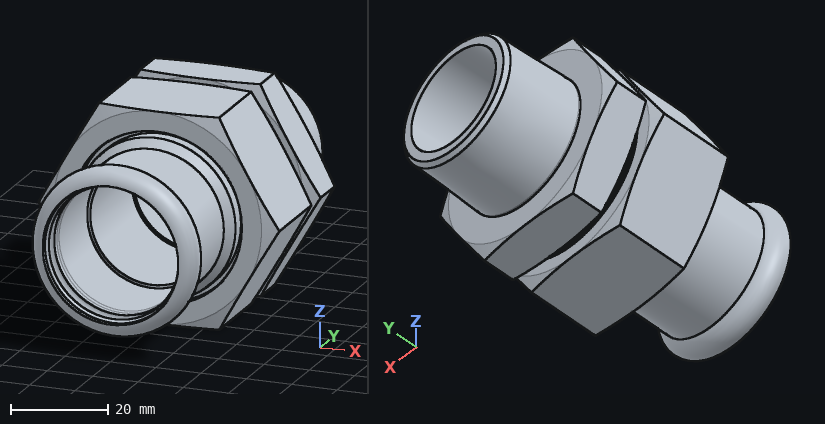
import cadquery as cq
import math

TOTAL_LENGTH = 80.0
ACROSS_FLATS = 46.0
ACROSS_CORNERS = ACROSS_FLATS / math.cos(math.pi / 6)

BEAD_LENGTH = 7.2
BEAD_RADIUS = BEAD_LENGTH / 2
BEAD_DIAMETER = 36.7
BEAD_CENTRE_RADIUS = BEAD_DIAMETER / 2 - BEAD_RADIUS
TUBE_DIAMETER = 31.4
MOUTH_DIAMETER = 29.9
MOUTH_LIP_LENGTH = 1.3
SEAL_GROOVE_DIAMETER = 32.3
SEAL_GROOVE_START = 2.1
SEAL_GROOVE_END = 5.1
GUIDE_DIAMETER = 28.8
GUIDE_END = 6.6
SOCKET_DIAMETER = 28.4
SOCKET_START = 7.4
SOCKET_DEPTH = 23.2

CONE_START = 23.9
COLLAR_START = 25.8
COLLAR_DIAMETER = 35.0

NUT_START = 26.5
NUT_LENGTH = 20.0
NUT_END = NUT_START + NUT_LENGTH
NUT_HOLE_DIAMETER = 37.4
NUT_HOLE_DEPTH = 2.4
RIM_LENGTH = 0.5
RIM_DIAMETER = 39.0
NECK_DIAMETER = 38.0
HEX_START = 49.8
HEX_LENGTH = 10.0
HEX_END = HEX_START + HEX_LENGTH
HEX_CHAMFER_ANGLE = 15.0

SHOULDER_LENGTH = 0.5
THREAD_START = HEX_END + SHOULDER_LENGTH
THREAD_BASE_DIAMETER = 33.1
THREAD_TAPER = 1 / 16
TIP_CHAMFER = 1.0
TIP_START = TOTAL_LENGTH - TIP_CHAMFER
TIP_BASE_DIAMETER = THREAD_BASE_DIAMETER - THREAD_TAPER * (TIP_START - THREAD_START)
TIP_DIAMETER = TIP_BASE_DIAMETER - 2 * TIP_CHAMFER

BORE_STEPS = [(NUT_END, 27.0), (HEX_END, 26.0), (TOTAL_LENGTH, 25.4)]


def revolve(profile):
    """Turn a closed (radius, Y) profile around the Y axis."""
    return profile.close().revolve(360, (0, 0, 0), (0, 1, 0))


def cylinder(diameter, start, end):
    return revolve(cq.Workplane("XY").moveTo(0, start).lineTo(diameter / 2, start)
                   .lineTo(diameter / 2, end).lineTo(0, end))


def hexagon(start, length):
    """Hexagon with corners on X, both ends turned down to the across-flats circle."""
    prism = (cq.Workplane("XZ", origin=(0, start, 0))
             .polygon(6, ACROSS_CORNERS).extrude(-length))
    flat_radius = ACROSS_FLATS / 2
    corner_radius = ACROSS_CORNERS / 2
    drop = (corner_radius - flat_radius) * math.tan(math.radians(HEX_CHAMFER_ANGLE))
    end = start + length
    envelope = revolve(cq.Workplane("XY").moveTo(0, start).lineTo(flat_radius, start)
                       .lineTo(corner_radius, start + drop).lineTo(corner_radius, end - drop)
                       .lineTo(flat_radius, end).lineTo(0, end))
    return prism.intersect(envelope)


def press_socket():
    """Rounded bead, straight tube and the conical rise to the collar."""
    collar_end = NUT_START + NUT_HOLE_DEPTH
    bead = (cq.Workplane("XY").moveTo(0, 0).lineTo(BEAD_CENTRE_RADIUS, 0)
            .threePointArc((BEAD_DIAMETER / 2, BEAD_RADIUS), (BEAD_CENTRE_RADIUS, BEAD_LENGTH))
            .lineTo(0, BEAD_LENGTH))
    collar = (cq.Workplane("XY").moveTo(0, CONE_START).lineTo(TUBE_DIAMETER / 2, CONE_START)
              .lineTo(COLLAR_DIAMETER / 2, COLLAR_START)
              .lineTo(COLLAR_DIAMETER / 2, collar_end).lineTo(0, collar_end))
    tube = cylinder(TUBE_DIAMETER, BEAD_RADIUS, collar_end)
    return revolve(bead).union(tube).union(revolve(collar))


def union_nut():
    """Hexagon nut with a clearance recess around the collar."""
    recess = cylinder(NUT_HOLE_DIAMETER, NUT_START, NUT_START + NUT_HOLE_DEPTH)
    return hexagon(NUT_START, NUT_LENGTH).cut(recess)


def male_end():
    """Shoulder and tapered spigot with a chamfered tip."""
    return revolve(cq.Workplane("XY").moveTo(0, HEX_END)
                   .lineTo(THREAD_BASE_DIAMETER / 2, HEX_END)
                   .lineTo(THREAD_BASE_DIAMETER / 2, THREAD_START)
                   .lineTo(TIP_BASE_DIAMETER / 2, TIP_START)
                   .lineTo(TIP_DIAMETER / 2, TOTAL_LENGTH).lineTo(0, TOTAL_LENGTH))


def socket_bore():
    """Mouth with a short lead-in, round seal groove in the bead, guide bore and the tube seat."""
    mouth_radius = MOUTH_DIAMETER / 2
    groove_radius = SEAL_GROOVE_DIAMETER / 2
    groove_centre = (SEAL_GROOVE_START + SEAL_GROOVE_END) / 2
    guide_radius = GUIDE_DIAMETER / 2
    socket_radius = SOCKET_DIAMETER / 2
    return revolve(cq.Workplane("XY").moveTo(0, 0).lineTo(mouth_radius, 0)
                   .lineTo(mouth_radius, MOUTH_LIP_LENGTH)
                   .lineTo(guide_radius, SEAL_GROOVE_START)
                   .threePointArc((groove_radius, groove_centre), (guide_radius, SEAL_GROOVE_END))
                   .lineTo(guide_radius, GUIDE_END)
                   .lineTo(socket_radius, SOCKET_START)
                   .lineTo(socket_radius, SOCKET_DEPTH).lineTo(0, SOCKET_DEPTH))


body = press_socket().union(union_nut())
body = body.union(cylinder(RIM_DIAMETER, NUT_END, NUT_END + RIM_LENGTH))
body = body.union(cylinder(NECK_DIAMETER, NUT_END, HEX_START))
body = body.union(hexagon(HEX_START, HEX_LENGTH)).union(male_end())

body = body.cut(socket_bore())
step_start = SOCKET_DEPTH
for step_end, step_diameter in BORE_STEPS:
    body = body.cut(cylinder(step_diameter, step_start, step_end))
    step_start = step_end

result = body